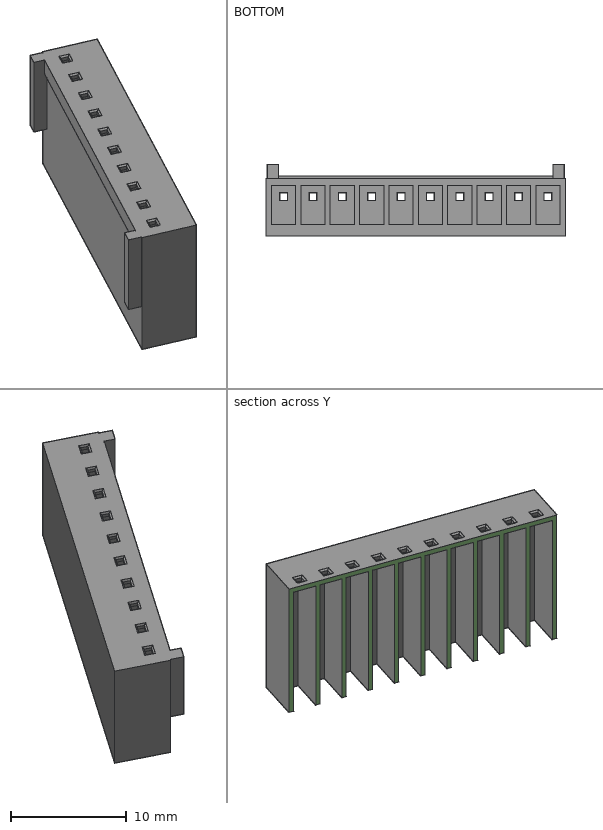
import cadquery as cq

body_length = 25.92
body_depth = 5.0
body_height = 12.85

rib_width = 1.0
rib_reach = 1.2
rib_height = 8.0
rib_end_inset = 0.1

lip_height = 1.6
lip_reach = 0.22

pin_count = 10
pin_pitch = 2.54
pin_hole_side = 0.64
lead_in_side = 0.94
lead_in_depth = 0.15
pin_row_from_front = 1.58

cavity_roof_thickness = 0.5
cavity_width = 2.1
cavity_front_wall = 0.6
cavity_back_wall = 1

rib_center_x = body_length / 2 - rib_end_inset - rib_width / 2
first_pin_x = -(pin_count - 1) * pin_pitch / 2


def make_front_bar(center_x, width, reach, height):
    """Bar standing out from the front face, flush with the top of the block."""
    return (
        cq.Workplane("XY")
        .workplane(offset=body_height - height)
        .center(center_x, 0)
        .rect(width, 2 * reach)
        .extrude(height)
    )


def make_pin_cutter(center_x):
    """Square through hole with a lead-in that narrows downward from the top face."""
    hole = (
        cq.Workplane("XY")
        .center(center_x, pin_row_from_front)
        .rect(pin_hole_side, pin_hole_side)
        .extrude(body_height)
    )
    lead_in = (
        cq.Workplane("XY")
        .workplane(offset=body_height - lead_in_depth)
        .center(center_x, pin_row_from_front)
        .rect(pin_hole_side, pin_hole_side)
        .workplane(offset=lead_in_depth)
        .rect(lead_in_side, lead_in_side)
        .loft(ruled=True)
    )
    return hole.union(lead_in)


def make_cavity_cutter(center_x):
    """Rectangular contact chamber below the pin hole, elongated toward the back."""
    cavity_depth = body_depth - cavity_front_wall - cavity_back_wall
    cavity_height = body_height - cavity_roof_thickness
    return (
        cq.Workplane("XY")
        .center(center_x, cavity_front_wall + cavity_depth / 2)
        .rect(cavity_width, cavity_depth)
        .extrude(cavity_height)
    )


body = cq.Workplane("XY").box(body_length, body_depth, body_height, centered=(True, False, False))

body = body.union(make_front_bar(0, 2 * rib_center_x, lip_reach, lip_height))
for side in (-1, 1):
    body = body.union(make_front_bar(side * rib_center_x, rib_width, rib_reach, rib_height))

for pin in range(pin_count):
    pin_x = first_pin_x + pin * pin_pitch
    body = body.cut(make_pin_cutter(pin_x)).cut(make_cavity_cutter(pin_x))

result = body